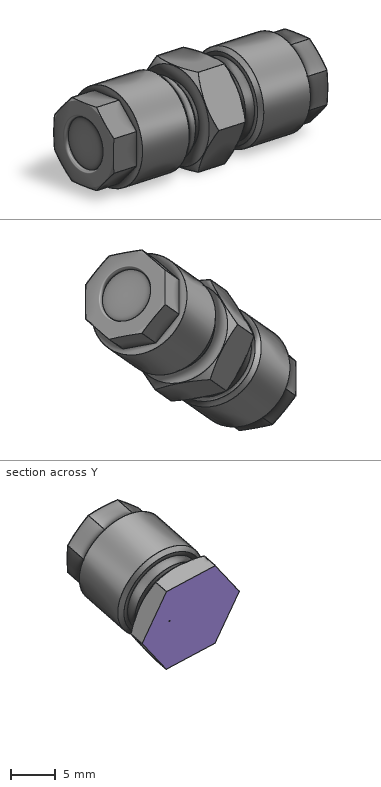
import cadquery as cq
import math

overall_length = 32.2
end_face = overall_length / 2

hex_flats = 12.0
hex_half_length = 2.55
hex_face_diameter = 11.9
hex_chamfer_angle = 30.0

neck_diameter = 8.5
neck_end = 3.05
stub_diameter = 10.0
stub_cone_end = 3.75

collar_diameter = 12.0
collar_length = 7.5
collar_chamfer = 0.5

octagon_flats = 10.0
octagon_length = 3.5
octagon_face_diameter = 10.0
octagon_chamfer_angle = 15.0

recess_diameter = 6.2
recess_rounding = 0.3
recess_depth = 0.5

collar_outer = end_face - octagon_length
collar_inner = collar_outer - collar_length


def revolve_profile(points):
    """Revolve a closed (radius, Y) outline around the Y axis."""
    profile = cq.Workplane("XY").polyline(points).close()
    return profile.revolve(360, (0, 0, 0), (0, 1, 0))


def mirrored(body):
    """Return the same body on the opposite side of the middle plane."""
    return body.mirror("XZ")


def prism(sides, flats, start, end, turn):
    """Regular prism along Y, given its width across flats."""
    corner_diameter = flats / math.cos(math.pi / sides)
    base = cq.Workplane("XZ", origin=(0, start, 0)).polygon(sides, corner_diameter)
    return base.extrude(start - end).rotate((0, 0, 0), (0, 1, 0), turn)


def corner_limit(sides, flats, face_diameter, angle, start, end):
    """Solid of revolution whose cone at the end face trims prism corners."""
    corner_radius = flats / 2 / math.cos(math.pi / sides)
    face_radius = face_diameter / 2
    drop = (corner_radius - face_radius) * math.tan(math.radians(angle))
    return revolve_profile([
        (0, start),
        (corner_radius, start),
        (corner_radius, end - drop),
        (face_radius, end),
        (0, end),
    ])


def central_hexagon():
    """Hexagon with corners on the X axis, chamfered on both faces."""
    sides = 6
    body = prism(sides, hex_flats, -hex_half_length, hex_half_length, 0)
    limit = corner_limit(
        sides, hex_flats, hex_face_diameter, hex_chamfer_angle, 0, hex_half_length
    )
    return body.intersect(limit.union(mirrored(limit)))


def stub_and_collar():
    """Neck, threaded stub and nut collar on one side, starting at Y = 0."""
    neck_radius = neck_diameter / 2
    stub_radius = stub_diameter / 2
    collar_radius = collar_diameter / 2
    return revolve_profile([
        (0, 0),
        (neck_radius, 0),
        (neck_radius, neck_end),
        (stub_radius, stub_cone_end),
        (stub_radius, collar_inner),
        (collar_radius - collar_chamfer, collar_inner),
        (collar_radius, collar_inner + collar_chamfer),
        (collar_radius, collar_outer),
        (0, collar_outer),
    ])


def octagon_end():
    """Octagonal end of the nut, with flats square to X and Z."""
    sides = 8
    half_step = 180 / sides
    body = prism(sides, octagon_flats, collar_outer, end_face, half_step)
    limit = corner_limit(
        sides,
        octagon_flats,
        octagon_face_diameter,
        octagon_chamfer_angle,
        collar_outer,
        end_face,
    )
    return body.intersect(limit)


def end_recess():
    """Flat-floored recess with a rounded mouth, open at the end face."""
    radius = recess_diameter / 2
    mouth_radius = radius + recess_rounding
    rounding_start = end_face - recess_rounding
    arc_offset = recess_rounding * math.sqrt(0.5)
    arc_middle = (mouth_radius - arc_offset, rounding_start + arc_offset)
    profile = (
        cq.Workplane("XY")
        .moveTo(0, end_face - recess_depth)
        .lineTo(radius, end_face - recess_depth)
        .lineTo(radius, rounding_start)
        .threePointArc(arc_middle, (mouth_radius, end_face))
        .lineTo(0, end_face)
        .close()
    )
    return profile.revolve(360, (0, 0, 0), (0, 1, 0))


nut_side = stub_and_collar().union(octagon_end()).cut(end_recess())
result = central_hexagon().union(nut_side).union(mirrored(nut_side))